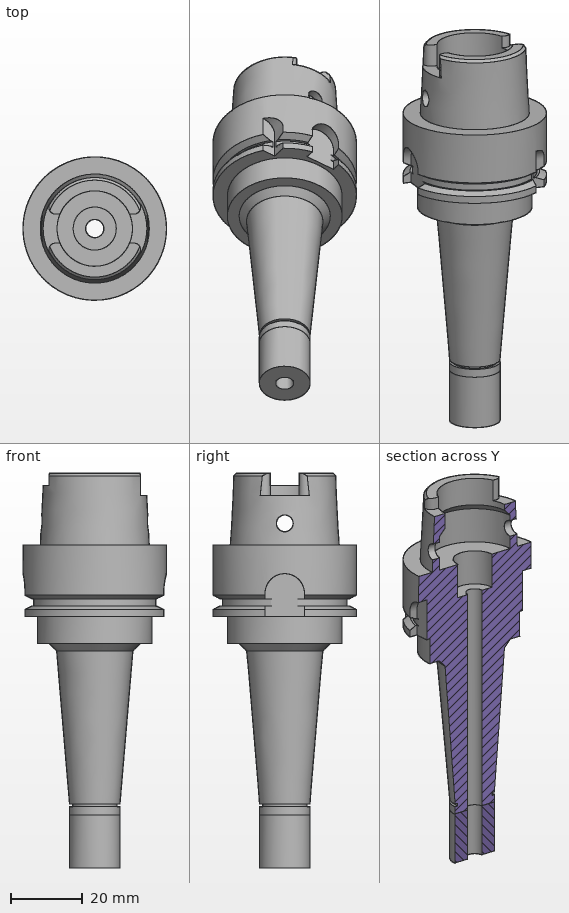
import cadquery as cq

TAPER_HEIGHT = 20.0
TAPER_BASE_RADIUS = 15.2
TAPER_SLOPE = 0.05
RIM_CHAMFER_HEIGHT = 0.75
RIM_RADIUS = 13.5

CLAMP_BORE_RADIUS = 10.5
CLAMP_LIP_DEPTH = 8.0
UNDERCUT_RADIUS = 12.5
CAVITY_FLOOR_Z = 0.0
COOLANT_POCKET_RADIUS = 6.0
COOLANT_POCKET_DEPTH = 10.0
THROUGH_BORE_RADIUS = 2.5

CROSS_HOLE_DIAMETER = 4.6
CROSS_HOLE_Z = 6.0

DRIVE_SLOT_HALF_WIDTH = 4.0
DRIVE_SLOT_CORNER_RADIUS = 2.0
DRIVE_SLOT_SHOULDER_X = 12.8
SHALLOW_SLOT_DEPTH = 3.4
DEEP_SLOT_DEPTH = 6.2

FLANGE_RADIUS = 20.0
FLANGE_HEIGHT = 20.0
GROOVE_RADIUS = 17.4
GROOVE_LEDGE_RADIUS = 18.05
GROOVE_MID_Z = -16.0
GROOVE_FLOOR_WIDTH = 2.0
GROOVE_MOUTH_WIDTH = 4.0

NOTCH_TOP_Z = -8.0
NARROW_KEYWAY_RADIUS = 4.5
WIDE_KEYWAY_RADIUS = 5.5
KEYWAY_FLOOR_X = 17.0
INDEX_NOTCH_RADIUS = 4.0
INDEX_NOTCH_FLOOR_X = 12.0
INDEX_NOTCH_WALL_Y = 12.0

COLLAR_RADIUS = 16.0
COLLAR_BOTTOM_Z = -27.5
SHOULDER_RADIUS = 12.7
SHANK_TOP_RADIUS = 10.65
SHANK_TOP_Z = -29.5
SHANK_BOTTOM_RADIUS = 7.05
SHANK_BOTTOM_Z = -72.2
NECK_RADIUS = 6.2
NECK_HEIGHT = 0.7
END_RADIUS = 7.1
HOLDER_BOTTOM_Z = -75.2

END_PIECE_LENGTH = 14.8


def taper_radius(z):
    return TAPER_BASE_RADIUS - TAPER_SLOPE * z


def cylinder(radius, bottom_z, top_z):
    return cq.Workplane("XY").workplane(offset=bottom_z).circle(radius).extrude(top_z - bottom_z)


def holder_blank():
    """Solid of revolution with the whole outer profile of the holder."""
    chamfer_z = TAPER_HEIGHT - RIM_CHAMFER_HEIGHT
    neck_bottom_z = SHANK_BOTTOM_Z - NECK_HEIGHT
    profile = [
        (0, TAPER_HEIGHT),
        (RIM_RADIUS, TAPER_HEIGHT),
        (taper_radius(chamfer_z), chamfer_z),
        (TAPER_BASE_RADIUS, 0),
        (FLANGE_RADIUS, 0),
        (FLANGE_RADIUS, GROOVE_MID_Z + GROOVE_MOUTH_WIDTH / 2),
        (GROOVE_LEDGE_RADIUS, GROOVE_MID_Z + GROOVE_FLOOR_WIDTH / 2),
        (GROOVE_RADIUS, GROOVE_MID_Z + GROOVE_FLOOR_WIDTH / 2),
        (GROOVE_RADIUS, GROOVE_MID_Z - GROOVE_FLOOR_WIDTH / 2),
        (GROOVE_LEDGE_RADIUS, GROOVE_MID_Z - GROOVE_FLOOR_WIDTH / 2),
        (FLANGE_RADIUS, GROOVE_MID_Z - GROOVE_MOUTH_WIDTH / 2),
        (FLANGE_RADIUS, -FLANGE_HEIGHT),
        (COLLAR_RADIUS, -FLANGE_HEIGHT),
        (COLLAR_RADIUS, COLLAR_BOTTOM_Z),
        (SHOULDER_RADIUS, COLLAR_BOTTOM_Z),
        (SHANK_TOP_RADIUS, SHANK_TOP_Z),
        (SHANK_BOTTOM_RADIUS, SHANK_BOTTOM_Z),
        (NECK_RADIUS, SHANK_BOTTOM_Z),
        (NECK_RADIUS, neck_bottom_z),
        (END_RADIUS, neck_bottom_z),
        (END_RADIUS, HOLDER_BOTTOM_Z),
        (0, HOLDER_BOTTOM_Z),
    ]
    return cq.Workplane("XZ").polyline(profile).close().revolve(360, (0, 0), (0, 1))


def holder_cavity():
    """Stepped bore: clamping lip, conical undercut, coolant pocket and through bore."""
    lip_bottom_z = TAPER_HEIGHT - CLAMP_LIP_DEPTH
    undercut_z = lip_bottom_z - (UNDERCUT_RADIUS - CLAMP_BORE_RADIUS)
    pocket_floor_z = CAVITY_FLOOR_Z - COOLANT_POCKET_DEPTH
    profile = [
        (0, TAPER_HEIGHT),
        (CLAMP_BORE_RADIUS, TAPER_HEIGHT),
        (CLAMP_BORE_RADIUS, lip_bottom_z),
        (UNDERCUT_RADIUS, undercut_z),
        (UNDERCUT_RADIUS, CAVITY_FLOOR_Z),
        (COOLANT_POCKET_RADIUS, CAVITY_FLOOR_Z),
        (COOLANT_POCKET_RADIUS, pocket_floor_z),
        (THROUGH_BORE_RADIUS, pocket_floor_z),
        (THROUGH_BORE_RADIUS, HOLDER_BOTTOM_Z),
        (0, HOLDER_BOTTOM_Z),
    ]
    return cq.Workplane("XZ").polyline(profile).close().revolve(360, (0, 0), (0, 1))


def drive_slot(side, depth):
    """Slot through one side of the rim, with its outer corners rounded; side is -1 or +1 along X."""
    half = DRIVE_SLOT_HALF_WIDTH
    radius = DRIVE_SLOT_CORNER_RADIUS
    shoulder_x = side * DRIVE_SLOT_SHOULDER_X
    arc_start_x = side * (DRIVE_SLOT_SHOULDER_X - radius)
    outer_x = side * FLANGE_RADIUS
    outer_y = half + radius

    lane = (
        cq.Workplane("XY")
        .moveTo(0, -half)
        .lineTo(arc_start_x, -half)
        .tangentArcPoint((shoulder_x, -outer_y), relative=False)
        .lineTo(shoulder_x, -FLANGE_RADIUS)
        .lineTo(outer_x, -FLANGE_RADIUS)
        .lineTo(outer_x, FLANGE_RADIUS)
        .lineTo(shoulder_x, FLANGE_RADIUS)
        .lineTo(shoulder_x, outer_y)
        .tangentArcPoint((arc_start_x, half), relative=False)
        .lineTo(0, half)
        .close()
        .extrude(depth)
    )
    return lane.translate((0, 0, TAPER_HEIGHT - depth))


def cross_hole():
    return (
        cq.Workplane("YZ")
        .center(0, CROSS_HOLE_Z)
        .circle(CROSS_HOLE_DIAMETER / 2)
        .extrude(TAPER_BASE_RADIUS, both=True)
    )


def flange_notch(side, centre_y, radius, floor_x):
    """Round-topped notch, open at the flange bottom, from floor_x outward along X."""
    arc_z = NOTCH_TOP_Z - radius
    return (
        cq.Workplane("YZ")
        .workplane(offset=side * floor_x)
        .moveTo(centre_y - radius, -FLANGE_HEIGHT)
        .lineTo(centre_y - radius, arc_z)
        .threePointArc((centre_y, NOTCH_TOP_Z), (centre_y + radius, arc_z))
        .lineTo(centre_y + radius, -FLANGE_HEIGHT)
        .close()
        .extrude(side * FLANGE_RADIUS)
    )


def make_holder():
    holder = holder_blank().cut(holder_cavity()).cut(cross_hole())
    sides = (
        (-1, SHALLOW_SLOT_DEPTH, NARROW_KEYWAY_RADIUS),
        (1, DEEP_SLOT_DEPTH, WIDE_KEYWAY_RADIUS),
    )
    for side, slot_depth, keyway_radius in sides:
        holder = holder.cut(drive_slot(side, slot_depth))
        holder = holder.cut(flange_notch(side, 0, keyway_radius, KEYWAY_FLOOR_X))
    index_centre_y = INDEX_NOTCH_WALL_Y + INDEX_NOTCH_RADIUS
    return holder.cut(flange_notch(-1, index_centre_y, INDEX_NOTCH_RADIUS, INDEX_NOTCH_FLOOR_X))


def make_end_piece():
    bottom_z = HOLDER_BOTTOM_Z - END_PIECE_LENGTH
    blank = cylinder(END_RADIUS, bottom_z, HOLDER_BOTTOM_Z)
    return blank.cut(cylinder(THROUGH_BORE_RADIUS, bottom_z, HOLDER_BOTTOM_Z))


holder = make_holder()
end_piece = make_end_piece()

result = cq.Compound.makeCompound([holder.solids().val(), end_piece.solids().val()])